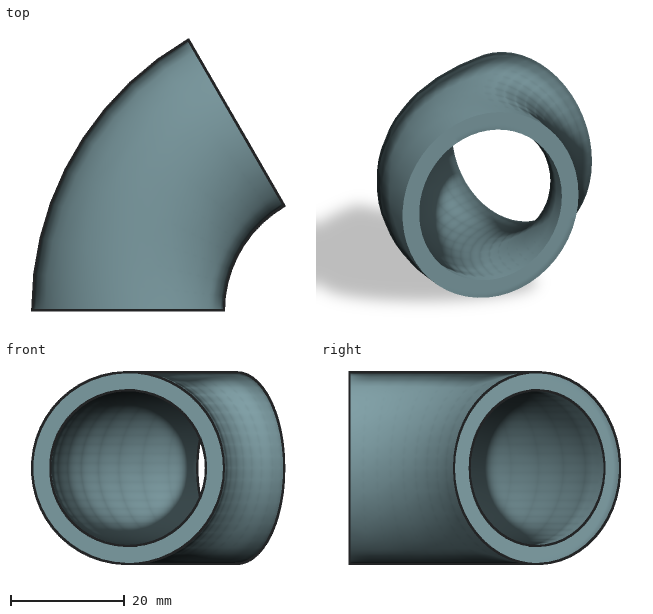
import cadquery as cq
import math

overall_length = 47.5
outer_diameter = 33.7
wall_thickness = 3.2
bend_angle = 60.0

outer_radius = outer_diameter / 2
inner_radius = outer_radius - wall_thickness
outside_bend_radius = overall_length / math.sin(math.radians(bend_angle))
bend_radius = outside_bend_radius - outer_radius

end_ring = cq.Workplane("XZ").circle(outer_radius).circle(inner_radius)
axis_start = (bend_radius, 0)
axis_end = (bend_radius, -1)
result = end_ring.revolve(bend_angle, axis_start, axis_end)